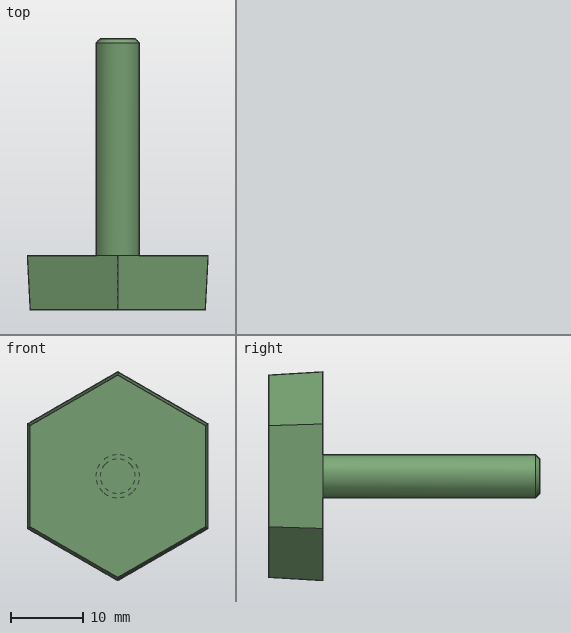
import cadquery as cq
import math

across_flats = 25.0
head_height = 7.5
draft_angle = 3

overall_length = 37.5
shank_diameter = 6
tip_chamfer = 0.6

shank_length = overall_length - head_height
across_corners = across_flats / math.cos(math.radians(30))


def make_head():
    """Drafted hexagon with corners on +Z and -Z, narrowing toward -Y."""
    return (
        cq.Workplane("XZ")
        .transformed(rotate=(0, 0, 90))
        .polygon(6, across_corners)
        .extrude(head_height, taper=draft_angle)
    )


def make_shank():
    """Plain cylinder with a chamfered free end."""
    return (
        cq.Workplane("XZ")
        .circle(shank_diameter / 2)
        .extrude(-shank_length)
        .faces(">Y")
        .chamfer(tip_chamfer)
    )


result = make_head().union(make_shank())